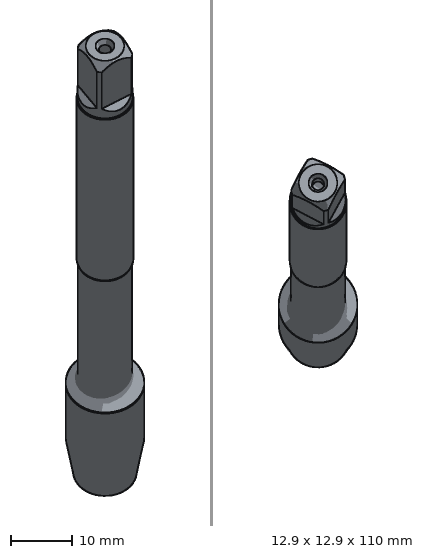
import cadquery as cq
import math

total_length = 110.0

head_diameter = 12.9
tip_diameter = 10.5
lead_length = 8.8
head_top = 22.8

shoulder_band = 0.3
shoulder_slope = 35.0
shoulder_fillet = 1.9
neck_diameter = 8.9
grip_bottom = 54.6
grip_diameter = 9.4
grip_lower_chamfer = 0.5
grip_upper_chamfer = 0.2
grip_top = 96.8
drive_diameter = 9.0
drive_end_diameter = 6.3

square_width = 6.9
square_bottom = 99.2

centre_hole_diameter = 2.0
countersink_diameter = 3.1
countersink_angle = 60.0
centre_hole_depth = 3.3
drill_point_angle = 120.0


def cone_height(radius_change, full_angle):
    """Height over which a cone of the given full angle changes radius."""
    return radius_change / math.tan(math.radians(full_angle / 2))


def make_head():
    return (
        cq.Workplane("XZ")
        .moveTo(0, 0)
        .lineTo(tip_diameter / 2, 0)
        .lineTo(head_diameter / 2, lead_length)
        .lineTo(head_diameter / 2, head_top)
        .lineTo(0, head_top)
        .close()
        .revolve(360, (0, 0), (0, 1))
    )


def make_shank_blank():
    base_radius = head_diameter / 2
    neck_radius = neck_diameter / 2
    grip_radius = grip_diameter / 2
    drive_radius = drive_diameter / 2
    end_radius = drive_end_diameter / 2
    end_chamfer = drive_radius - end_radius
    band_top = head_top + shoulder_band
    slope = math.radians(shoulder_slope)
    sweep = math.pi / 2 - slope
    fillet_bottom_radius = neck_radius + shoulder_fillet * (1 - math.cos(sweep))
    fillet_bottom = band_top + (base_radius - fillet_bottom_radius) * math.tan(slope)
    fillet_top = fillet_bottom + shoulder_fillet * math.sin(sweep)
    fillet_middle = (
        neck_radius + shoulder_fillet * (1 - math.cos(sweep / 2)),
        fillet_top - shoulder_fillet * math.sin(sweep / 2),
    )
    return (
        cq.Workplane("XZ")
        .moveTo(0, head_top)
        .lineTo(base_radius, head_top)
        .lineTo(base_radius, band_top)
        .lineTo(fillet_bottom_radius, fillet_bottom)
        .threePointArc(fillet_middle, (neck_radius, fillet_top))
        .lineTo(neck_radius, grip_bottom)
        .lineTo(grip_radius, grip_bottom + grip_lower_chamfer)
        .lineTo(grip_radius, grip_top - grip_upper_chamfer)
        .lineTo(drive_radius, grip_top)
        .lineTo(drive_radius, total_length - end_chamfer)
        .lineTo(end_radius, total_length)
        .lineTo(0, total_length)
        .close()
        .revolve(360, (0, 0), (0, 1))
    )


def make_flat_cutter():
    """Prism that removes one drive flat and its ramp on the +X side."""
    flat = square_width / 2
    reach = drive_diameter
    ramp_run = reach - flat
    return (
        cq.Workplane("XZ")
        .moveTo(flat, total_length)
        .lineTo(flat, square_bottom)
        .lineTo(reach, square_bottom - ramp_run)
        .lineTo(reach, total_length)
        .close()
        .extrude(drive_diameter, both=True)
        .intersect(
            cq.Workplane("XY")
            .workplane(offset=grip_top)
            .rect(4 * reach, 4 * reach)
            .extrude(total_length - grip_top)
        )
    )


def make_centre_hole():
    hole_radius = centre_hole_diameter / 2
    sink_radius = countersink_diameter / 2
    sink_bottom = total_length - cone_height(sink_radius - hole_radius, countersink_angle)
    hole_bottom = total_length - centre_hole_depth
    return (
        cq.Workplane("XZ")
        .moveTo(0, total_length)
        .lineTo(sink_radius, total_length)
        .lineTo(hole_radius, sink_bottom)
        .lineTo(hole_radius, hole_bottom)
        .lineTo(0, hole_bottom - cone_height(hole_radius, drill_point_angle))
        .close()
        .revolve(360, (0, 0), (0, 1))
    )


def make_shank():
    shank = make_shank_blank()
    for side in range(4):
        shank = shank.cut(make_flat_cutter().rotate((0, 0, 0), (0, 0, 1), 90 * side))
    return shank.cut(make_centre_hole())


head = make_head()
shank = make_shank()
result = cq.Compound.makeCompound([head.val(), *shank.vals()])